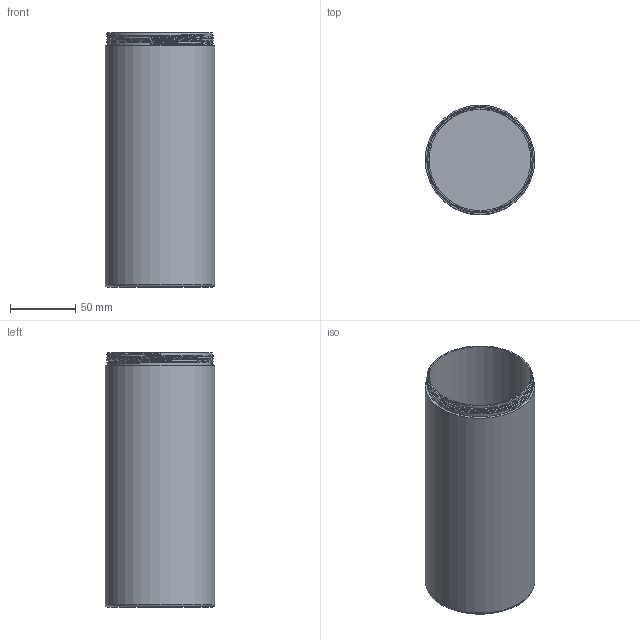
import cadquery as cq

body_diameter = 84.0
total_height = 195.0
base_fillet = 2.0

neck_diameter = 80.0
neck_height = 10.0
shoulder_z = total_height - neck_height

bore_diameter = 78.0
floor_thickness = (body_diameter - bore_diameter) / 2

thread_pitch = 2.1
thread_depth = 0.8
thread_base_width = 1.5
thread_crest_width = 0.2
thread_overlap = 0.3
thread_end_drop = 0.75
thread_end_z = total_height - thread_end_drop
thread_start_angle = 260.0
thread_end_angle = 180.0
full_turns = 4
thread_turns = full_turns + (thread_end_angle - thread_start_angle) / 360
thread_height = thread_turns * thread_pitch
thread_start_z = thread_end_z - thread_height


def make_canister():
    """Round cup with a rounded base edge and a narrower neck."""
    body = cq.Workplane("XY").circle(body_diameter / 2).extrude(shoulder_z)
    body = body.faces("<Z").edges().fillet(base_fillet)
    neck = cq.Workplane("XY").workplane(offset=shoulder_z).circle(neck_diameter / 2).extrude(neck_height)
    cavity = (
        cq.Workplane("XY")
        .workplane(offset=floor_thickness)
        .circle(bore_diameter / 2)
        .extrude(total_height - floor_thickness)
    )
    return body.union(neck).cut(cavity)


def make_thread():
    """Trapezoidal ridge swept along a helix around the neck."""
    neck_radius = neck_diameter / 2
    inner_radius = neck_radius - thread_overlap
    crest_radius = neck_radius + thread_depth
    half_base = thread_base_width / 2
    half_crest = thread_crest_width / 2
    path = cq.Wire.makeHelix(thread_pitch, thread_height, neck_radius)
    ridge = (
        cq.Workplane("XZ")
        .moveTo(inner_radius, -half_base)
        .lineTo(crest_radius, -half_crest)
        .lineTo(crest_radius, half_crest)
        .lineTo(inner_radius, half_base)
        .close()
        .sweep(cq.Workplane(path), isFrenet=True)
    )
    ridge = ridge.rotate((0, 0, 0), (0, 0, 1), thread_start_angle)
    return ridge.translate((0, 0, thread_start_z))


result = make_canister().union(make_thread())